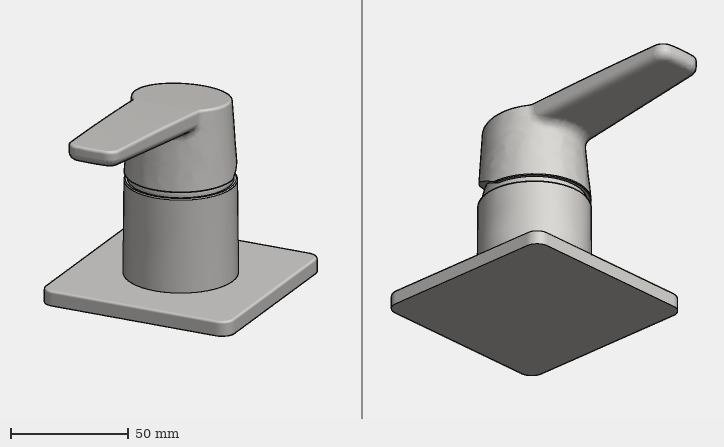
import cadquery as cq

plate_side = 90.0
plate_height = 6.6
plate_corner_radius = 6.0
plate_edge_radius = 1.0

body_foot_radius = 24.7
body_top_radius = 24.3
body_top = 49.6
body_rim_chamfer = 0.5
neck_radius = 22.8
neck_top = 50.7
dome_mid_radius, dome_mid_height = 21.2, 57.0
dome_top_radius, dome_top = 15.9, 66.3

head_bottom = 52.4
head_bottom_radius = body_top_radius
head_upper = 83.6
head_upper_radius = 21.8
head_lean = 0.8
head_overheight = 95.5
head_foot_chamfer = 0.4
relief_end_y, relief_end_z = 23.9, 63.7

overall_length = 132.7
lever_tip_y = plate_side / 2 - overall_length
lever_root_y = -12.0
lever_root_half_width = 16.2
lever_tip_half_width = 11.7
lever_tip_bow = 0.9
lever_corner_radius = 5.6
lever_root_bottom = 79.1
lever_tip_bottom = 86.6
lever_under_radius = 3.5
lever_blend_radius = 4.5

crown_back_y, crown_back_z = 26.5, 83.9
crown_mid_y, crown_mid_z = -26.5, 89.4
crown_tip_z = 93.8
crown_edge_radius = 1.2


def make_plate():
    plate = cq.Workplane("XY").rect(plate_side, plate_side).extrude(plate_height)
    plate = plate.edges("|Z").fillet(plate_corner_radius)
    return plate.faces(">Z").edges().fillet(plate_edge_radius)


def make_body():
    """Slightly tapered sleeve, groove neck and domed cartridge."""
    profile = (
        cq.Workplane("XZ")
        .lineTo(body_foot_radius, 0)
        .lineTo(body_foot_radius, plate_height)
        .lineTo(body_top_radius, body_top - body_rim_chamfer)
        .lineTo(body_top_radius - body_rim_chamfer, body_top)
        .lineTo(neck_radius, body_top)
        .lineTo(neck_radius, neck_top)
        .threePointArc((dome_mid_radius, dome_mid_height), (dome_top_radius, dome_top))
        .lineTo(0, dome_top)
        .close()
    )
    return profile.revolve(360, (0, 0, 0), (0, 1, 0))


def make_head():
    rise = (head_overheight - head_bottom) / (head_upper - head_bottom)
    top_radius = head_bottom_radius + rise * (head_upper_radius - head_bottom_radius)
    head = (
        cq.Workplane("XY", origin=(0, 0, head_bottom))
        .circle(head_bottom_radius)
        .workplane(offset=head_overheight - head_bottom)
        .center(0, rise * head_lean)
        .circle(top_radius)
        .loft(ruled=True)
    )
    return head.faces("<Z").edges().chamfer(head_foot_chamfer)


def make_relief():
    """Wedge that lifts the rear half of the head clear of the body."""
    slope = (relief_end_z - head_bottom) / relief_end_y
    reach = 2 * head_bottom_radius
    return (
        cq.Workplane("YZ")
        .moveTo(0, head_bottom)
        .lineTo(reach, head_bottom + slope * reach)
        .lineTo(reach, head_bottom)
        .close()
        .extrude(reach, both=True)
    )


def make_lever():
    """Tapered bar with an inclined, rounded underside."""
    bar = (
        cq.Workplane("XY")
        .moveTo(-lever_root_half_width, lever_root_y)
        .lineTo(-lever_tip_half_width, lever_tip_y + lever_tip_bow)
        .threePointArc((0, lever_tip_y), (lever_tip_half_width, lever_tip_y + lever_tip_bow))
        .lineTo(lever_root_half_width, lever_root_y)
        .close()
        .extrude(head_overheight)
    )
    bar = bar.faces("<Y").edges("|Z").fillet(lever_corner_radius)
    side = (
        cq.Workplane("YZ")
        .moveTo(lever_root_y, lever_root_bottom)
        .lineTo(lever_tip_y, lever_tip_bottom)
        .lineTo(lever_tip_y, head_overheight)
        .lineTo(lever_root_y, head_overheight)
        .close()
        .extrude(plate_side, both=True)
    )
    lever = bar.intersect(side)
    return lever.faces("<Z").edges("not(>Y)").fillet(lever_under_radius)


def make_crown_cutter():
    """Everything above the gently arched top surface."""
    clearance = 13.3
    ceiling = head_overheight + clearance
    return (
        cq.Workplane("YZ")
        .moveTo(crown_back_y, crown_back_z)
        .threePointArc((crown_mid_y, crown_mid_z), (lever_tip_y, crown_tip_z))
        .lineTo(lever_tip_y - clearance, crown_tip_z)
        .lineTo(lever_tip_y - clearance, ceiling)
        .lineTo(crown_back_y, ceiling)
        .close()
        .extrude(plate_side, both=True)
    )


def make_handle():
    handle = make_head().union(make_lever())
    seam_zone = cq.selectors.BoxSelector(
        (-plate_side, -head_bottom_radius, dome_top),
        (plate_side, lever_root_y, crown_tip_z),
    )
    handle = handle.edges(seam_zone).fillet(lever_blend_radius)
    handle = handle.cut(make_crown_cutter())
    crown_middle = (0, crown_mid_y, crown_mid_z)
    handle = handle.faces(cq.NearestToPointSelector(crown_middle)).edges().fillet(crown_edge_radius)
    return handle.cut(make_relief())


result = make_plate().union(make_body()).union(make_handle())